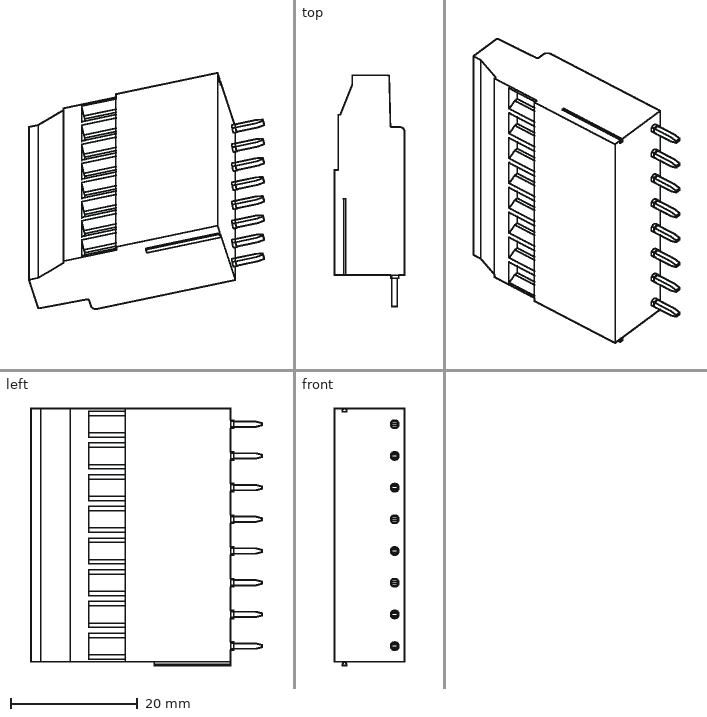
import cadquery as cq
import math

total_length = 36.5
total_height = 40.55
body_width = 11.1
pin_length = 5.0
rail_height = 0.55
body_length = total_length - pin_length
body_height = total_height - rail_height

pole_count = 8
pole_pitch = body_height / pole_count

step_depth = 0.6
step_y = 16.6
ledge_width = 0.32
ledge_y = 25.3
slant_top_x = 2.8
slant_top_y = body_length - 1.55
back_right_x = 8.7
shoulder_x = 8.9
shoulder_y = 23.35
shoulder_radius = 0.8
inner_corner_radius = 0.2
back_corner_radius = 0.25

pocket_end_y = 22.35
pocket_depth = 2.05
pocket_mouth_height = 4.1
pocket_flat_length = 0.6
pocket_slope_angle = 30.0
mouth_arc_radius = 0.97

rail_x = 1.62
rail_length = 12.05
rail_wide = 0.65
rail_neck = 0.32
rail_lip = 0.25

pin_x = body_width - 1.62
pin_size = 0.9
pin_tip_length = 1.05
pin_tip_height = 0.35
collar_x = body_width - 1.6
collar_diameter = 1.3
collar_length = 0.53


def make_housing():
    """Stepped outline extruded over the full body height, with its corners rounded."""
    outline = [
        (0, 0),
        (body_width, 0),
        (body_width, shoulder_y),
        (shoulder_x, shoulder_y),
        (back_right_x, body_length),
        (slant_top_x, body_length),
        (slant_top_x, slant_top_y),
        (step_depth + ledge_width, ledge_y),
        (step_depth, ledge_y),
        (step_depth, step_y),
        (0, step_y),
    ]
    housing = cq.Workplane("XY").polyline(outline).close().extrude(body_height)
    rounded_corners = [
        (body_width, shoulder_y, shoulder_radius),
        (shoulder_x, shoulder_y, inner_corner_radius),
        (back_right_x, body_length, back_corner_radius),
    ]
    for x, y, radius in rounded_corners:
        corner = cq.selectors.NearestToPointSelector((x, y, body_height / 2))
        housing = housing.edges("|Z").edges(corner).fillet(radius)
    return housing


def make_pocket(center_z):
    """Tapered pocket cut in from the set-back face, with a curved lead-in at its mouth."""
    mouth_x = step_depth
    taper_x = mouth_x + pocket_depth - pocket_flat_length
    floor_x = mouth_x + pocket_depth
    mouth_half = pocket_mouth_height / 2

    slope = math.radians(pocket_slope_angle)
    arc_mid_x = mouth_x + mouth_arc_radius * math.sin(slope / 2)
    arc_mid_half = mouth_half - mouth_arc_radius * (1 - math.cos(slope / 2))
    arc_end_x = mouth_x + mouth_arc_radius * math.sin(slope)
    arc_end_half = mouth_half - mouth_arc_radius * (1 - math.cos(slope))
    floor_half = arc_end_half - (taper_x - arc_end_x) * math.tan(slope)

    return (
        cq.Workplane("XZ", origin=(0, step_y, center_z))
        .moveTo(mouth_x, -mouth_half)
        .threePointArc((arc_mid_x, -arc_mid_half), (arc_end_x, -arc_end_half))
        .lineTo(taper_x, -floor_half)
        .lineTo(floor_x, -floor_half)
        .lineTo(floor_x, floor_half)
        .lineTo(taper_x, floor_half)
        .lineTo(arc_end_x, arc_end_half)
        .threePointArc((arc_mid_x, arc_mid_half), (mouth_x, mouth_half))
        .close()
        .extrude(-(pocket_end_y - step_y))
    )


def make_dovetail(base_z):
    """Dovetail bar hanging below base_z, starting at the front face."""
    profile = [
        (-rail_neck / 2, 0),
        (-rail_wide / 2, rail_lip - rail_height),
        (-rail_wide / 2, -rail_height),
        (rail_wide / 2, -rail_height),
        (rail_wide / 2, rail_lip - rail_height),
        (rail_neck / 2, 0),
    ]
    return (
        cq.Workplane("XZ", origin=(rail_x, 0, base_z))
        .polyline(profile)
        .close()
        .extrude(-rail_length)
    )


def make_pin(center_z):
    """Square pin with a tip narrowing in Z, on a round collar."""
    taper_y = pin_tip_length - pin_length
    profile = [
        (0, -pin_size / 2),
        (taper_y, -pin_size / 2),
        (-pin_length, -pin_tip_height / 2),
        (-pin_length, pin_tip_height / 2),
        (taper_y, pin_size / 2),
        (0, pin_size / 2),
    ]
    blade = (
        cq.Workplane("YZ", origin=(pin_x, 0, center_z))
        .polyline(profile)
        .close()
        .extrude(pin_size / 2, both=True)
    )
    collar = (
        cq.Workplane("XZ", origin=(collar_x, 0, center_z))
        .circle(collar_diameter / 2)
        .extrude(collar_length)
    )
    return blade.union(collar)


result = make_housing().cut(make_dovetail(body_height)).union(make_dovetail(0))
for pole in range(pole_count):
    pole_z = (pole + 0.5) * pole_pitch
    result = result.cut(make_pocket(pole_z)).union(make_pin(pole_z))